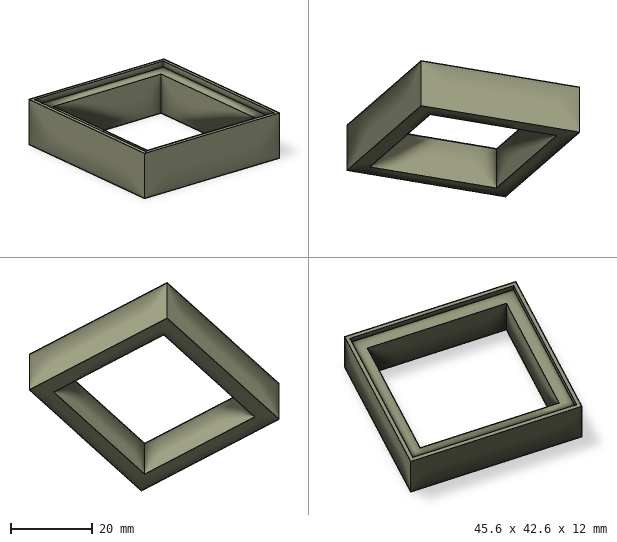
import cadquery as cq

length = 45.6
width = 42.6
height = 12.0

frame_width = 4.3
rim_width = 1.0
recess_depth = 1.6


def centered_box(inset, bottom, top):
    """Block set in from the outer sides, spanning two heights."""
    return (
        cq.Workplane("XY")
        .workplane(offset=bottom)
        .rect(length - 2 * inset, width - 2 * inset)
        .extrude(top - bottom)
    )


body = centered_box(0, 0, height)
window = centered_box(frame_width, 0, height)
recess = centered_box(rim_width, height - recess_depth, height)

result = body.cut(window).cut(recess)